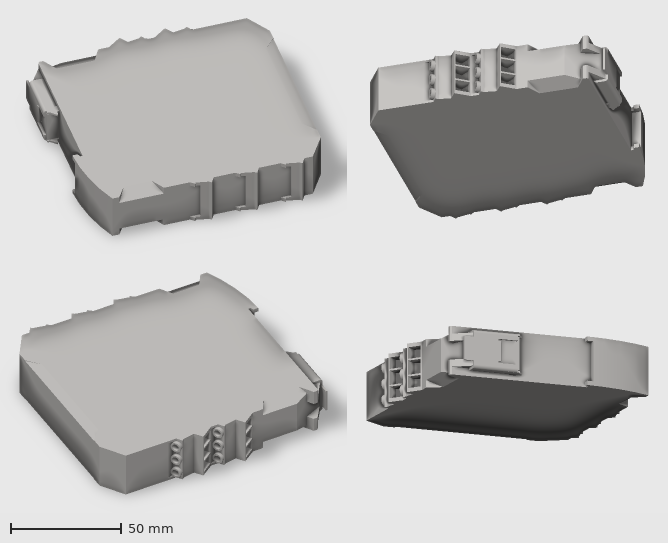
import cadquery as cq
import math

width = 99.1
height = 113.6
thickness = 22.6
half_thickness = thickness / 2
rail_y = 6.8
corner_x = 11.4
corner_y = 7.4
overlap = 1.1

slant_top_y = 18.0
slant_run = 3.0
slant_bottom_y = 11.2
lip_y = 9.3
lip_chamfer = 0.7

hook_tip_x = 65.4
hook_root_x = 67.1
hook_root_y = 5.7
hook_top_y = 5.0
hook_tip_y = 2.5
hook_skin_x = 68.6
hook_skin_z = 9.3
heel_y = 10.9
arc_mid = (84.3, 5.3)

row_pitch = 21.6
left_row_y = 80.1
right_row_y = 102.2
ridge_notch_drop = 6.6
left_row_count = 2
right_row_count = 3
left_tip = (-4.7, -11.4)
left_foot = (0.0, -17.8)
left_shoulder = (-2.6, -1.7)
left_row_points = [(0, 0), left_shoulder, (-1.7, -3.1), (-0.8, -8.6), left_tip, left_foot]
right_row_points = [(0, 0), (3.1, -1.8), (2.2, -3.0), (0.9, -9.0), (1.7, -9.3), (0, -11.2)]

screw_pitch = 7.4
screw_diameter = 5.1
screw_bore = 3.4
screw_bore_depth = 2.3
screw_length = 5.1
screw_face = (-1.4, 1.2)
screw_notch_z = 10.1
screw_notch_rise = 4.2
screw_notch_depth = 1.5

middle_opening = 6.6
side_opening = 5.3
side_opening_z = 6.8
opening_rim = 0.6
opening_depth = 3.4
upper_depth = 5.7
floor_run = 2.3
floor_rise = 3.4

pocket_top_y = 35.5
pocket_depth = 3.5
left_pocket_reach = 6.7
left_pocket_inner_y = (31.7, 13.6)
right_pocket_reach = 6.1
right_pocket_inner_y = (31.6, 18.2)
right_pocket_bottom_y = 14.2
label_left = 16.6
label_right = 82.4
label_slope = 6.1
label_reach = 5.3
label_depth = 0.3

clip_left = 8.7
clip_right = 30.3
clip_half = 9.0
clip_wall = 0.9
clip_round = 1.5
block_right = 31.6
nose_points = [(31.8, 1.2), (32.0, 2.6), (34.5, 5.2), (33.9, 5.7), (32.0, 5.9)]
groove_right = 28.6
groove_fall = 1.2
groove_depth = 0.7
tongue_left = 4.1
tongue_half = 5.6
tab_half = 4.3
tab_bottom_y = 2.4
slit_left = 22.0
slit_width = 0.7
hook_reach = 1.2
wedge_half = 7.7
wedge_bottom_y = 1.2


def plate(points, z_low, z_high):
    """Closed outline in X and Y, extruded from z_low to z_high."""
    return cq.Workplane("XY").workplane(offset=z_low).polyline(points).close().extrude(z_high - z_low)


def block(x_range, y_range, z_range):
    """Box between the given X, Y and Z limits."""
    left, right = x_range
    bottom, top = y_range
    return plate([(left, bottom), (right, bottom), (right, top), (left, top)], *z_range)


def both_sides(shape):
    """The shape together with its mirror image across Z = 0."""
    return shape.union(shape.mirror("XY"))


def housing():
    """Main outline with the hook narrowed to two outer skins at its tip."""
    outline = (
        cq.Workplane("XY").workplane(offset=-half_thickness)
        .moveTo(corner_x, height)
        .lineTo(0, height - corner_y)
        .lineTo(0, slant_top_y)
        .lineTo(slant_run, slant_bottom_y)
        .lineTo(0, lip_y)
        .lineTo(0, rail_y + lip_chamfer)
        .lineTo(lip_chamfer, rail_y)
        .lineTo(hook_root_x, rail_y)
        .lineTo(hook_root_x, hook_root_y)
        .lineTo(hook_tip_x, hook_top_y)
        .lineTo(hook_tip_x, hook_tip_y)
        .threePointArc(arc_mid, (width, heel_y))
        .lineTo(width, height - corner_y)
        .lineTo(width - corner_x, height)
        .close()
    )
    gap = block((hook_tip_x - overlap, hook_skin_x), (0, rail_y), (-hook_skin_z, hook_skin_z))
    return outline.extrude(thickness).cut(gap)


def wall_row(points, wall_x, start_y, inward):
    """Toothed ridge over the full thickness, reaching into the housing."""
    ridge = [(wall_x + x, start_y + y) for x, y in points]
    ridge.append((wall_x + inward, ridge[-1][1]))
    ridge.append((wall_x + inward, start_y))
    return plate(ridge, -half_thickness, half_thickness)


def screw_plane(start_y, z):
    """Plane on a screw face, facing away from the shoulder of the row."""
    run, fall = left_shoulder
    return cq.Plane(origin=(screw_face[0], start_y + screw_face[1], z), xDir=(0, 0, 1), normal=(fall, -run, 0))


def screw_notch(start_y):
    """Triangular notch in the wall that continues the slope of the row upwards."""
    run, fall = left_shoulder
    inner_y = start_y + screw_notch_depth * fall / run
    points = [(0, start_y + screw_notch_rise), (screw_notch_depth, inner_y), (0, start_y)]
    return plate(points, -screw_notch_z, screw_notch_z)


def wire_openings(start_y):
    """Three pockets with walls square to the foot face and an inclined floor."""
    face_x = left_foot[0] - left_tip[0]
    face_y = left_foot[1] - left_tip[1]
    face_length = math.hypot(face_x, face_y)
    along = (face_x / face_length, face_y / face_length)
    inward = (-along[1], along[0])
    upper = (left_tip[0] + opening_rim * along[0], start_y + left_tip[1] + opening_rim * along[1])
    lower = (left_foot[0] - opening_rim * along[0], start_y + left_foot[1] - opening_rim * along[1])
    wall_end = (lower[0] + opening_depth * inward[0], lower[1] + opening_depth * inward[1])
    floor_end = (wall_end[0] + floor_run, wall_end[1] + floor_rise)
    upper_end = (upper[0] + upper_depth * inward[0], upper[1] + upper_depth * inward[1])
    profile = [upper, lower, wall_end, floor_end, upper_end]
    side_low = side_opening_z - side_opening / 2
    side = plate(profile, side_low, side_low + side_opening)
    return plate(profile, -middle_opening / 2, middle_opening / 2).union(both_sides(side))


def add_left_row(body, start_y):
    """Ridge with its screw notch, wire openings and three bored screws."""
    body = body.union(wall_row(left_row_points, 0, start_y, overlap))
    body = body.cut(screw_notch(start_y)).cut(wire_openings(start_y))
    for index in (-1, 0, 1):
        face = cq.Workplane(screw_plane(start_y, index * screw_pitch))
        body = body.union(face.circle(screw_diameter / 2).extrude(-screw_length))
        body = body.cut(face.circle(screw_bore / 2).extrude(-screw_bore_depth))
    return body


def sloped_pocket(plan, section_plane, section, length):
    """Pocket with upright ends from the plan and a sloped floor from the section."""
    ends = plate(plan, 0, thickness)
    floor = cq.Workplane(section_plane).polyline(section).close().extrude(length)
    return both_sides(ends.intersect(floor))


def side_pocket(wall_x, inner_x, bottom_y, inner_y):
    """Pocket sloping down from its inner edge to the wall, with flared ends."""
    plan = [(wall_x, pocket_top_y), (inner_x, inner_y[0]), (inner_x, inner_y[1]), (wall_x, bottom_y)]
    section = [(wall_x, half_thickness), (inner_x, half_thickness), (wall_x, half_thickness - pocket_depth)]
    return sloped_pocket(plan, "XZ", section, -height)


def label_pocket():
    """Shallow sloped facet along the top edge."""
    inner_y = height - label_reach
    plan = [
        (label_left, height),
        (label_left + label_slope, inner_y),
        (label_right - label_slope, inner_y),
        (label_right, height),
    ]
    section = [(height, half_thickness), (inner_y, half_thickness), (height, half_thickness - label_depth)]
    return sloped_pocket(plan, "YZ", section, width)


def clip():
    """Core with a wedge on the left, a rounded cover around it, two nosed walls and a tongue."""
    top_y = rail_y + overlap
    core = plate(
        [(lip_chamfer, rail_y), (clip_left, wedge_bottom_y), (block_right, wedge_bottom_y),
         (block_right, top_y), (lip_chamfer, top_y)],
        -wedge_half, wedge_half,
    )
    cover = block((clip_left, clip_right), (0, top_y), (-clip_half, clip_half))
    cover = cover.edges("|X and <Y").fillet(clip_round)
    groove_y = rail_y - groove_fall
    groove = (
        cq.Workplane("YZ").workplane(offset=clip_left)
        .polyline([(groove_y, clip_half), (rail_y, clip_half), (rail_y, clip_half - groove_depth)]).close()
        .extrude(groove_right - clip_left)
    )
    nose = plate(
        [(clip_left, clip_round), *nose_points, (nose_points[-1][0], top_y), (clip_left, top_y)],
        clip_half - clip_wall, clip_half,
    )
    tongue = block((tongue_left, clip_left + overlap), (0, clip_wall), (-tongue_half, tongue_half))
    shell = cover.union(both_sides(nose)).cut(both_sides(groove))
    return shell.union(core).union(tongue)


def tab_slot():
    """Opens the lip and wedge in the middle, leaving the slanted end wall running down as a tab."""
    slope = slant_run / (slant_top_y - slant_bottom_y)
    tab_x = (slant_top_y - tab_bottom_y) * slope
    return plate(
        [(slant_run, slant_bottom_y), (tab_x, tab_bottom_y), (tab_x, clip_wall), (-overlap, clip_wall),
         (-overlap, slant_bottom_y)],
        -tab_half, tab_half,
    )


def tongue_recess():
    """Shallow step in the clip underside, with a slit and two hooked corners at its left end."""
    step = block((slit_left, block_right), (0, wedge_bottom_y), (-tongue_half, tongue_half))
    slit = block((slit_left, slit_left + slit_width), (0, wedge_bottom_y + clip_wall), (-tab_half, tab_half))
    hook = block((slit_left - hook_reach, slit_left), (0, clip_wall), (tongue_half - clip_wall, tongue_half))
    return step.union(slit).union(both_sides(hook))


def ridge_notch(start_y):
    """Step cut into the lower end of a right ridge between two thin skins."""
    top = start_y - ridge_notch_drop
    bottom = start_y + right_row_points[-1][1]
    return block((width, width + right_row_points[1][0]), (bottom, top), (-hook_skin_z, hook_skin_z))


result = housing()
for row in reversed(range(left_row_count)):
    result = add_left_row(result, left_row_y - row * row_pitch)
for row in range(right_row_count):
    ridge_y = right_row_y - row * row_pitch
    result = result.union(wall_row(right_row_points, width, ridge_y, -overlap)).cut(ridge_notch(ridge_y))
result = result.cut(side_pocket(0, left_pocket_reach, lip_y, left_pocket_inner_y))
right_inner_x = width - right_pocket_reach
result = result.cut(side_pocket(width, right_inner_x, right_pocket_bottom_y, right_pocket_inner_y))
result = result.cut(label_pocket())
result = result.union(clip()).cut(tab_slot()).cut(tongue_recess())